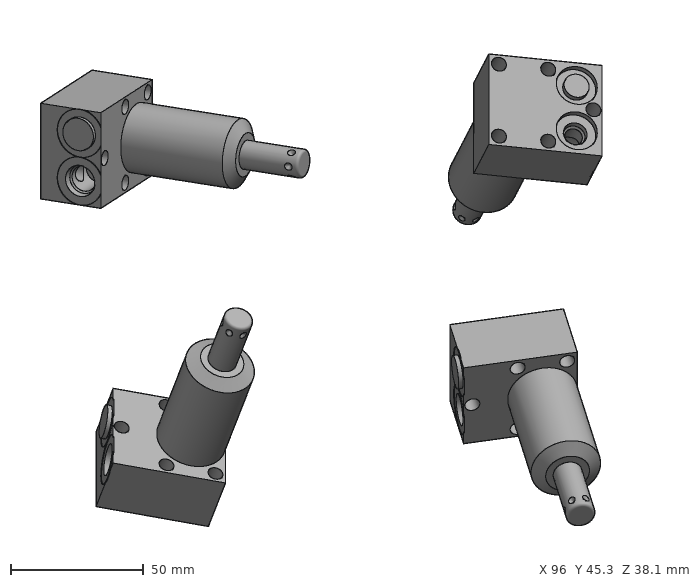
import cadquery as cq

BLOCK_X = 25.4
BLOCK_Y = 43.9
BLOCK_Z = 38.1
TOTAL_LENGTH = 96.0

BARREL_RADIUS = 13.4
BARREL_END_X = 68.1
NOSE_LENGTH = 3.2
NOSE_RADIUS = 8.45
ROD_RADIUS = 5.6
ROD_TIP_FILLET = 1.2
ROD_DIMPLE_DIAMETER = 3.2
ROD_DIMPLE_SETBACK = 4.0
ROD_DIMPLE_COUNT = 6

MOUNT_DIAMETER = 5.8
MOUNT_INSET = 3.9
MOUNT_PITCH_Y = 19.1
LONE_HOLE_INSET = 3.4

PORT_Z = BLOCK_Z / 4
FRONT_PORT_X = 16.5
SIDE_PORT_INSET = 9.8
FRONT_FACE_DIAMETER = BLOCK_Z / 2
FRONT_FACE_DEPTH = 0.3
FRONT_PLUG_DIAMETER = 12.9
FRONT_PLUG_PROUD = 1.4
FRONT_MOUTH_DIAMETER = 12.3
FRONT_THROAT_DIAMETER = 11.4
FRONT_BORE_DIAMETER = 10.1
FRONT_TAPER_LENGTH = 2.7
FRONT_BORE_DEPTH = 15.4
SIDE_FACE_DIAMETER = 15.8
SIDE_FACE_DEPTH = 2.7
SIDE_PLUG_DIAMETER = 9.7
SIDE_PLUG_HEIGHT = 2.4
SIDE_MOUTH_DIAMETER = 9.1
SIDE_THROAT_DIAMETER = 8.45
SIDE_BORE_DIAMETER = 6.8
SIDE_TAPER_LENGTH = 2.0

BACK_Y = BARREL_RADIUS
FRONT_Y = BACK_Y - BLOCK_Y
SIDE_PORT_Y = FRONT_Y + SIDE_PORT_INSET


def cylinder_along(direction, start, diameter, length):
    """Cylinder from a start point along a direction."""
    cylinder = cq.Solid.makeCylinder(diameter / 2, length, cq.Vector(*start), cq.Vector(*direction))
    return cq.Workplane(cylinder)


def cone_along(direction, start, start_diameter, end_diameter, length):
    """Cone from a start point along a direction."""
    cone = cq.Solid.makeCone(
        start_diameter / 2, end_diameter / 2, length, cq.Vector(*start), cq.Vector(*direction)
    )
    return cq.Workplane(cone)


def tapered_bore(direction, start, mouth, throat, bore, taper_length, depth):
    """Gently tapered mouth, a 45 degree step at the throat, then a plain bore."""
    step_start = (cq.Vector(*start) + cq.Vector(*direction) * taper_length).toTuple()
    taper = cone_along(direction, start, mouth, throat, taper_length)
    step = cone_along(direction, step_start, throat, bore, (throat - bore) / 2)
    return cylinder_along(direction, start, bore, depth).union(taper).union(step)


def make_turned_body():
    """Barrel, conical nose and round-tipped rod as one revolved outline."""
    nose_end_x = BARREL_END_X + NOSE_LENGTH
    outline = [
        (BLOCK_X, 0),
        (BLOCK_X, BARREL_RADIUS),
        (BARREL_END_X, BARREL_RADIUS),
        (nose_end_x, NOSE_RADIUS),
        (nose_end_x, ROD_RADIUS),
        (TOTAL_LENGTH, ROD_RADIUS),
        (TOTAL_LENGTH, 0),
    ]
    body = cq.Workplane("XY").polyline(outline).close().revolve(360, (0, 0, 0), (1, 0, 0))
    return body.faces(">X").edges().fillet(ROD_TIP_FILLET)


def cut_rod_dimples(body):
    """Ring of 90 degree conical dimples near the rod tip, as wide as stated at the crown of the rod."""
    start = (TOTAL_LENGTH - ROD_DIMPLE_SETBACK, -ROD_RADIUS, 0)
    dimple = cone_along((0, 1, 0), start, ROD_DIMPLE_DIAMETER, 0, ROD_DIMPLE_DIAMETER / 2)
    for index in range(ROD_DIMPLE_COUNT):
        body = body.cut(dimple.rotate((0, 0, 0), (1, 0, 0), index * 360 / ROD_DIMPLE_COUNT))
    return body


def make_block():
    """Block with through mounting holes along X."""
    block = cq.Workplane("XY").box(BLOCK_X, BLOCK_Y, BLOCK_Z, centered=(False, False, True))
    block = block.translate((0, FRONT_Y, 0))
    first_y = BACK_Y - MOUNT_INSET
    mount_z = BLOCK_Z / 2 - MOUNT_INSET
    spots = [(y, z) for y in (first_y, first_y - MOUNT_PITCH_Y) for z in (-mount_z, mount_z)]
    spots.append((FRONT_Y + LONE_HOLE_INSET, 0))
    for y, z in spots:
        block = block.cut(cylinder_along((1, 0, 0), (0, y, z), MOUNT_DIAMETER, BLOCK_X))
    return block


def add_front_ports(body):
    """Shallow spot faces on the -Y face: upper one plugged, lower one bored."""
    inward = (0, 1, 0)
    for z in (-PORT_Z, PORT_Z):
        body = body.cut(cylinder_along(inward, (FRONT_PORT_X, FRONT_Y, z), FRONT_FACE_DIAMETER, FRONT_FACE_DEPTH))
    plug_start = (FRONT_PORT_X, FRONT_Y - FRONT_PLUG_PROUD, PORT_Z)
    plug_length = FRONT_PLUG_PROUD + FRONT_FACE_DEPTH
    body = body.union(cylinder_along(inward, plug_start, FRONT_PLUG_DIAMETER, plug_length))
    bore_start = (FRONT_PORT_X, FRONT_Y + FRONT_FACE_DEPTH, -PORT_Z)
    return body.cut(
        tapered_bore(
            inward,
            bore_start,
            FRONT_MOUTH_DIAMETER,
            FRONT_THROAT_DIAMETER,
            FRONT_BORE_DIAMETER,
            FRONT_TAPER_LENGTH,
            FRONT_BORE_DEPTH,
        )
    )


def add_side_ports(body):
    """Counterbores on the -X face: upper one plugged, lower one bored into the front port."""
    inward = (1, 0, 0)
    for z in (-PORT_Z, PORT_Z):
        body = body.cut(cylinder_along(inward, (0, SIDE_PORT_Y, z), SIDE_FACE_DIAMETER, SIDE_FACE_DEPTH))
    plug_start = (SIDE_FACE_DEPTH - SIDE_PLUG_HEIGHT, SIDE_PORT_Y, PORT_Z)
    body = body.union(cylinder_along(inward, plug_start, SIDE_PLUG_DIAMETER, SIDE_PLUG_HEIGHT))
    bore_start = (SIDE_FACE_DEPTH, SIDE_PORT_Y, -PORT_Z)
    bore_depth = FRONT_PORT_X - SIDE_FACE_DEPTH
    return body.cut(
        tapered_bore(
            inward,
            bore_start,
            SIDE_MOUTH_DIAMETER,
            SIDE_THROAT_DIAMETER,
            SIDE_BORE_DIAMETER,
            SIDE_TAPER_LENGTH,
            bore_depth,
        )
    )


result = cut_rod_dimples(make_block().union(make_turned_body()))
result = add_side_ports(add_front_ports(result))